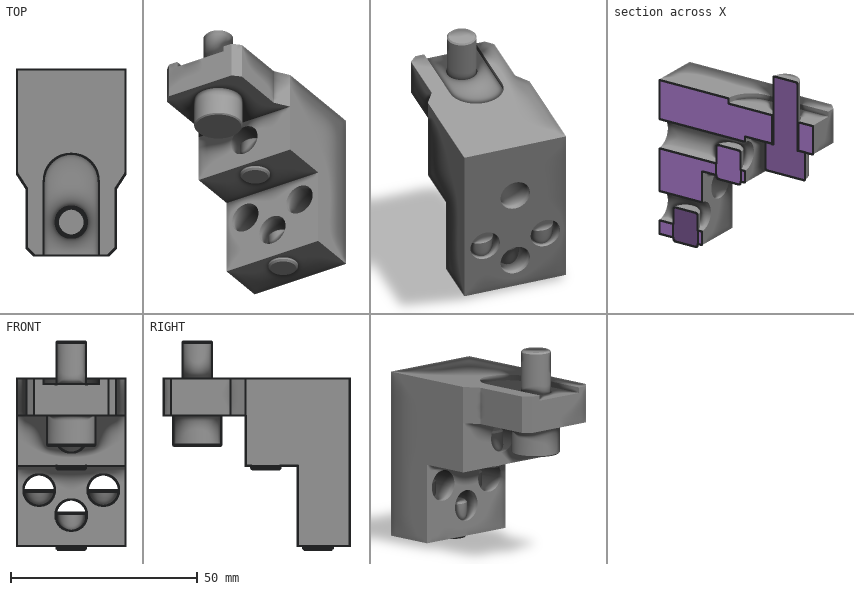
import cadquery as cq


BLOCK_WIDTH = 29.2
BLOCK_DEPTH = 50.0
BLOCK_HEIGHT = 45.0
WALL_DEPTH = 14.0
STEP_DEPTH = 28.0
STEP_Z = 21.55
PLATE_THICKNESS = 9.95
PLATE_WIDTH = 23.9
PLATE_TAPER = 4.05
PLATE_CORNER = 2.0

SLOT_WIDTH = 14.8
SLOT_DEPTH = 1.5
SLOT_CENTER_SETBACK = 20.0

CLEARANCE_DIAMETER = 8.4
SIDE_HOLE_X = 8.6
SIDE_HOLE_Z = 15.0
LOWER_HOLE_Z = 8.3
UPPER_HOLE_Z = 29.3

SHANK_DIAMETER = 8.0
SHANK_PROJECTION = 9.95
SHANK_CHAMFER = 0.4
HEAD_DIAMETER = 13.0
HEAD_HEIGHT = 8.2
HEAD_CHAMFER = 0.35
SCREW_SETBACK = 9.0

PIN_DIAMETER = SHANK_DIAMETER
PIN_LENGTH = 10.1
PIN_CHAMFER = 0.5
PIN_PROJECTION = 1.0
PIN_SETBACK = 5.45
CAP_THICKNESS = 0.5

SCREW_Y = SCREW_SETBACK - BLOCK_DEPTH
PLATE_Z = BLOCK_HEIGHT - PLATE_THICKNESS
SIDES = (-1, 1)


def upright_cylinder(x, y, z, diameter, height):
    """Cylinder along Z that starts at height z."""
    return cq.Workplane("XY", origin=(x, y, z)).circle(diameter / 2).extrude(height)


def make_block_body():
    """Stepped profile swept across X, joined to the tapered plate."""
    profile = [
        (0, 0),
        (-WALL_DEPTH, 0),
        (-WALL_DEPTH, STEP_Z),
        (-STEP_DEPTH, STEP_Z),
        (-STEP_DEPTH, BLOCK_HEIGHT),
        (0, BLOCK_HEIGHT),
    ]
    stepped = cq.Workplane("YZ").polyline(profile).close().extrude(BLOCK_WIDTH / 2, both=True)

    neck_y = -STEP_DEPTH - PLATE_TAPER
    right_edge = [
        (BLOCK_WIDTH / 2, 0),
        (BLOCK_WIDTH / 2, -STEP_DEPTH),
        (PLATE_WIDTH / 2, neck_y),
        (PLATE_WIDTH / 2, PLATE_CORNER - BLOCK_DEPTH),
        (PLATE_WIDTH / 2 - PLATE_CORNER, -BLOCK_DEPTH),
    ]
    left_edge = [(-x, y) for x, y in reversed(right_edge)]
    plate = (
        cq.Workplane("XY", origin=(0, 0, PLATE_Z))
        .polyline(right_edge + left_edge)
        .close()
        .extrude(PLATE_THICKNESS)
    )
    return stepped.union(plate)


def make_slot():
    """Round-ended cutter for the slot, running out past the front of the plate."""
    floor_z = BLOCK_HEIGHT - SLOT_DEPTH
    center_y = SLOT_CENTER_SETBACK - BLOCK_DEPTH
    round_end = upright_cylinder(0, center_y, floor_z, SLOT_WIDTH, SLOT_DEPTH)
    straight = (
        cq.Workplane("XY", origin=(0, -BLOCK_DEPTH, floor_z))
        .rect(SLOT_WIDTH, 2 * SLOT_CENTER_SETBACK)
        .extrude(SLOT_DEPTH)
    )
    return round_end.union(straight)


def make_cross_holes():
    """The four through holes along Y."""
    centers = [(side * SIDE_HOLE_X, SIDE_HOLE_Z) for side in SIDES]
    centers += [(0, LOWER_HOLE_Z), (0, UPPER_HOLE_Z)]
    return (
        cq.Workplane("XZ")
        .pushPoints(centers)
        .circle(CLEARANCE_DIAMETER / 2)
        .extrude(BLOCK_DEPTH)
    )


def make_screw():
    """Cap screw that points up through the plate."""
    head = upright_cylinder(0, SCREW_Y, PLATE_Z - HEAD_HEIGHT, HEAD_DIAMETER, HEAD_HEIGHT)
    head = head.faces("<Z").chamfer(HEAD_CHAMFER)
    shank = upright_cylinder(0, SCREW_Y, PLATE_Z, SHANK_DIAMETER, PLATE_THICKNESS + SHANK_PROJECTION)
    shank = shank.faces(">Z").chamfer(SHANK_CHAMFER)
    return head.union(shank)


def make_center_pin(front_depth, underside_z):
    """Pin with chamfered ends that stands out of an underside, set back from the front face above it."""
    pin = upright_cylinder(
        0, PIN_SETBACK - front_depth, underside_z - PIN_PROJECTION, PIN_DIAMETER, PIN_LENGTH
    )
    return pin.faces("<Z or >Z").chamfer(PIN_CHAMFER)


def make_side_pin(side):
    """Plain pin inside the wall, ending just below the axis of a side hole."""
    bottom_z = SIDE_HOLE_Z - PIN_LENGTH
    return upright_cylinder(
        side * SIDE_HOLE_X, -PIN_SETBACK, bottom_z, PIN_DIAMETER, PIN_LENGTH - CAP_THICKNESS
    )


def make_side_cap(side):
    """Disc that lies on a side pin and ends at the axis of the hole."""
    return upright_cylinder(
        side * SIDE_HOLE_X, -PIN_SETBACK, SIDE_HOLE_Z - CAP_THICKNESS, PIN_DIAMETER, CAP_THICKNESS
    )


def make_block(pins):
    """Block with its slot, clearance holes and a matching bore for each pin."""
    screw_hole = upright_cylinder(0, SCREW_Y, PLATE_Z, CLEARANCE_DIAMETER, PLATE_THICKNESS)
    block = make_block_body().cut(make_slot()).cut(screw_hole).cut(make_cross_holes())
    for pin in pins:
        block = block.cut(pin)
    return block


screw = make_screw()
center_pins = [
    make_center_pin(front_depth, underside_z)
    for front_depth, underside_z in ((WALL_DEPTH, 0), (STEP_DEPTH, STEP_Z))
]
side_pins = [make_side_pin(side) for side in SIDES]
side_caps = [make_side_cap(side) for side in SIDES]
block = make_block(center_pins + side_pins)

bodies = [block, screw] + center_pins + side_pins + side_caps
result = cq.Compound.makeCompound([body.solids().val() for body in bodies])